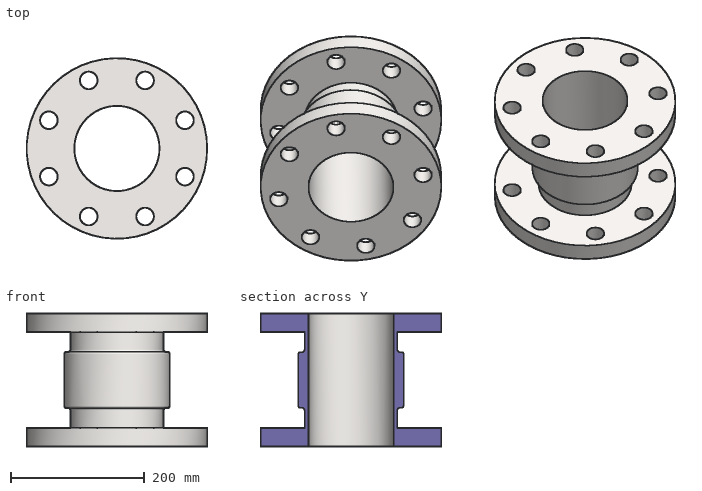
import cadquery as cq

flange_diameter = 270.0
overall_height = 199.0
flange_thickness = 28.0
bore_diameter = 127.0
neck_diameter = 139.5

sleeve_diameter = 158.0
sleeve_length = 84.0
sleeve_edge_radius = 3.2
sleeve_root_radius = 3.2

bolt_count = 8
bolt_hole_diameter = 26.0
bolt_circle_diameter = 220.0
bolt_pitch_angle = 360 / bolt_count


def flanged_pipe():
    """Revolve the wall section of the pipe, its sleeve and both flanges."""
    bore_radius = bore_diameter / 2
    neck_radius = neck_diameter / 2
    sleeve_radius = sleeve_diameter / 2
    flange_radius = flange_diameter / 2
    shoulder_height = sleeve_length / 2
    end_height = overall_height / 2
    flange_inner_height = end_height - flange_thickness

    edge_height = shoulder_height - sleeve_edge_radius
    edge_inner_radius = sleeve_radius - sleeve_edge_radius
    root_outer_radius = neck_radius + sleeve_root_radius
    root_height = shoulder_height + sleeve_root_radius

    section = (
        cq.Workplane("XZ")
        .moveTo(bore_radius, end_height)
        .lineTo(bore_radius, -end_height)
        .lineTo(flange_radius, -end_height)
        .lineTo(flange_radius, -flange_inner_height)
        .lineTo(neck_radius, -flange_inner_height)
        .lineTo(neck_radius, -root_height)
        .tangentArcPoint((root_outer_radius, -shoulder_height), relative=False)
        .lineTo(edge_inner_radius, -shoulder_height)
        .tangentArcPoint((sleeve_radius, -edge_height), relative=False)
        .lineTo(sleeve_radius, edge_height)
        .tangentArcPoint((edge_inner_radius, shoulder_height), relative=False)
        .lineTo(root_outer_radius, shoulder_height)
        .tangentArcPoint((neck_radius, root_height), relative=False)
        .lineTo(neck_radius, flange_inner_height)
        .lineTo(flange_radius, flange_inner_height)
        .lineTo(flange_radius, end_height)
        .close()
    )
    return section.revolve(360, (0, 0), (0, 1))


def bolt_holes():
    """Cylinders that pass through both flanges, outside the sleeve."""
    return (
        cq.Workplane("XY", origin=(0, 0, -overall_height / 2))
        .polarArray(bolt_circle_diameter / 2, bolt_pitch_angle / 2, 360, bolt_count)
        .circle(bolt_hole_diameter / 2)
        .extrude(overall_height)
    )


result = flanged_pipe().cut(bolt_holes())